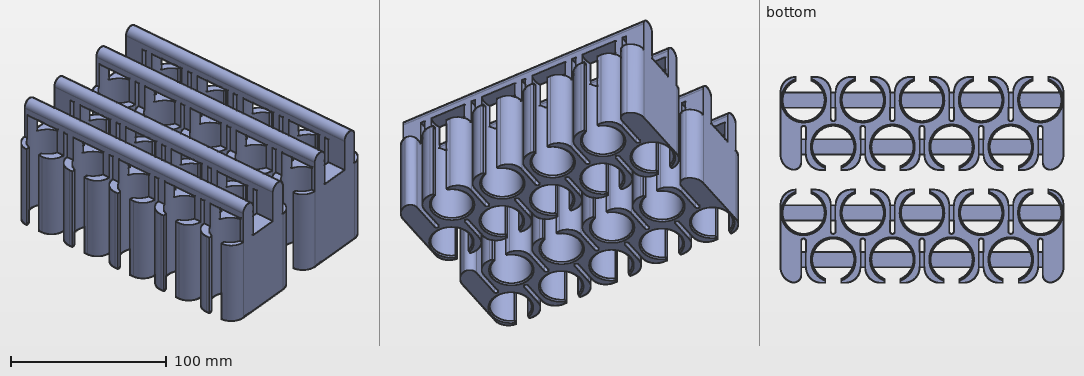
import cadquery as cq
import math

LENGTH = 182.0
RACK_DEPTH = 60.0
TOTAL_DEPTH = 132.5
BLOCK_HEIGHT = 60.0
TOTAL_HEIGHT = 88.0

TUBE_PITCH = 38.0
FRONT_TUBES = 5
BACK_TUBES = FRONT_TUBES - 1
ROW_OFFSET = RACK_DEPTH / 4
BORE_RADIUS = 13.5
BORE_CHAMFER = 1.0
GRIP_OPENING = 10.0
CORNER_RADIUS = 10.0

SLOT_WIDTH = 3.0
SLOT_RADIUS = SLOT_WIDTH / 2
STUMP_RADIUS = 5.0
MOUTH_CLEARANCE = 1.8

RAIL_WIDTH = 10.0
WINDOW_TOP = 78.1

HALF_DEPTH = RACK_DEPTH / 2
FIRST_FRONT_X = (LENGTH - (FRONT_TUBES - 1) * TUBE_PITCH) / 2
FRONT_TUBE_XS = [FIRST_FRONT_X + i * TUBE_PITCH for i in range(FRONT_TUBES)]
BACK_TUBE_XS = [FIRST_FRONT_X + (i + 0.5) * TUBE_PITCH for i in range(BACK_TUBES)]
WEB_HALF = ROW_OFFSET - BORE_RADIUS
RACK_SPACING = TOTAL_DEPTH - RACK_DEPTH

STUMP_WIDTH = FIRST_FRONT_X - SLOT_RADIUS
STUMP_SHIFT = STUMP_WIDTH - STUMP_RADIUS - CORNER_RADIUS
STUMP_RISE = math.sqrt((CORNER_RADIUS - STUMP_RADIUS) ** 2 - STUMP_SHIFT**2)

TUBE_CORNER = (CORNER_RADIUS, HALF_DEPTH - CORNER_RADIUS, math.pi / 2)
STUMP_CORNER = (
    STUMP_RADIUS,
    HALF_DEPTH - CORNER_RADIUS + STUMP_RISE,
    math.atan2(STUMP_RISE, STUMP_SHIFT),
)


def block():
    """Base block with rounded vertical corners, standing on Z = 0."""
    base = cq.Workplane("XY").box(LENGTH, RACK_DEPTH, BLOCK_HEIGHT, centered=(False, True, False))
    return base.edges("|Z").fillet(CORNER_RADIUS)


def rail(y):
    """Full-length rail with a half-round top, sunk to the bottom of the block."""
    half = RAIL_WIDTH / 2
    shoulder = TOTAL_HEIGHT - half
    return (
        cq.Workplane("YZ")
        .moveTo(y - half, 0)
        .lineTo(y + half, 0)
        .lineTo(y + half, shoulder)
        .threePointArc((y, TOTAL_HEIGHT), (y - half, shoulder))
        .close()
        .extrude(LENGTH)
    )


def bore(x, y):
    """Tube bore up to the window top, chamfered at the bottom rim."""
    radius = BORE_RADIUS + BORE_CHAMFER
    rim = cq.Solid.makeCone(radius, BORE_RADIUS, BORE_CHAMFER, cq.Vector(x, y, 0))
    return cq.Workplane("XY").center(x, y).circle(BORE_RADIUS).extrude(WINDOW_TOP).union(rim)


def grip_opening(x, side):
    """Opening through the outer wall of a tube; side is -1 for front, 1 for back."""
    return (
        cq.Workplane("XY")
        .center(x, side * (ROW_OFFSET + HALF_DEPTH) / 2)
        .rect(GRIP_OPENING, HALF_DEPTH - ROW_OFFSET)
        .extrude(BLOCK_HEIGHT)
    )


def mouth_arc(wall_x, direction, side, corner):
    """Middle and end point of a mouth corner that leaves the slot wall in the given X direction."""
    radius, center_y, sweep = corner
    return [
        (
            wall_x + direction * radius * (1 - math.cos(angle)),
            side * (center_y + radius * math.sin(angle)),
        )
        for angle in (sweep / 2, sweep)
    ]


def slot(x, side, left_corner, right_corner):
    """Slot between tubes, open to the outside through a mouth with rounded corners."""
    left = x - SLOT_RADIUS
    right = x + SLOT_RADIUS
    inner = side * (WEB_HALF + SLOT_RADIUS)
    outer = side * (HALF_DEPTH + MOUTH_CLEARANCE)
    left_middle, left_end = mouth_arc(left, -1, side, left_corner)
    right_middle, right_end = mouth_arc(right, 1, side, right_corner)
    return (
        cq.Workplane("XY")
        .moveTo(left, inner)
        .threePointArc((x, side * WEB_HALF), (right, inner))
        .lineTo(right, side * right_corner[1])
        .threePointArc(right_middle, right_end)
        .lineTo(right_end[0], outer)
        .lineTo(left_end[0], outer)
        .lineTo(*left_end)
        .threePointArc(left_middle, (left, side * left_corner[1]))
        .close()
        .extrude(WINDOW_TOP)
    )


def rack(y):
    """One complete rack centred on the given Y position."""
    body = block().union(rail(-ROW_OFFSET)).union(rail(ROW_OFFSET))
    for side, tube_xs, slot_xs in (
        (-1, FRONT_TUBE_XS, BACK_TUBE_XS),
        (1, BACK_TUBE_XS, FRONT_TUBE_XS),
    ):
        for x in tube_xs:
            body = body.cut(bore(x, side * ROW_OFFSET)).cut(grip_opening(x, side))
        for x in slot_xs:
            left_corner = STUMP_CORNER if x < tube_xs[0] else TUBE_CORNER
            right_corner = STUMP_CORNER if x > tube_xs[-1] else TUBE_CORNER
            body = body.cut(slot(x, side, left_corner, right_corner))
    return body.translate((0, y, 0))


racks = [rack(side * RACK_SPACING / 2) for side in (-1, 1)]

result = cq.Compound.makeCompound([body.val() for body in racks])